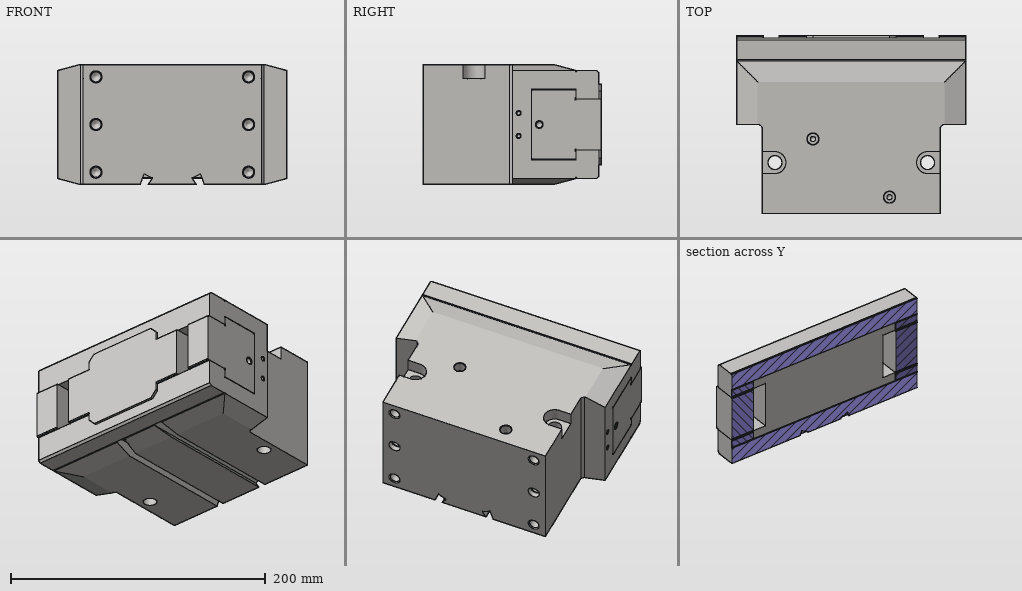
import cadquery as cq
import math


length = 180.0
height = 94.0
half_length = length / 2
half_height = height / 2

foot_half_width = 70.0
head_start_y = 70.0
foot_bevel = 2.2

shoulder_run = 16.7
shoulder_drop = 4.5
cover_half_height = half_height - shoulder_drop

cover_back_y = 120.0
cover_front_y = 138.0
cover_front_chamfer = 1.8
cover_back_chamfer = 0.9

front_y = 140.0
slot_floor_y = 85.3
slot_half_height = 27.7
neck_half_height = 20.2
flange_clearance = 0.4
jaw_length = 21.0
jaw_corner_chamfer = 0.7
jaw_relief = 0.7
front_edge_chamfer = 0.7

bar_half_length = 56.9
plate_half_length = 35.3
plate_half_height = 31.7
plate_corner = 5.4

drill_point_angle = 118.0
face_hole_x = 60.0
face_hole_pitch_z = 37.5
face_hole_mouth = 9.5
face_hole_core = 8.0
face_hole_depth = 21.6
locating_bore_depth = 4.5
end_hole_y = 75.0
end_hole_z = 9.0
end_hole_mouth = 4.0
end_hole_core = 2.9
end_hole_depth = 9.0
jaw_hole_y = 91.3
jaw_hole_mouth = 6.1
jaw_hole_core = 4.9
jaw_hole_depth = 10.8

port_places = [(-30.0, 58.7), (30.0, 13.0)]
port_mouth = 9.5
port_bore = 8.8
port_bore_depth = 9.0
port_core = 4.1
port_core_depth = 7.2

mount_x = 60.0
mount_y = 40.1
mount_diameter = 10.8
seat_width = 17.3
seat_depth = 11.0

groove_outline = [(25.0, 0), (22.1, 8.3), (15.7, 4.9), (18.9, 0)]


def along_x(points, x_start, x_end):
    """Prism along X of an outline given as (y, z) points."""
    return cq.Workplane("YZ", origin=(x_start, 0, 0)).polyline(points).close().extrude(x_end - x_start)


def along_y(points, y_start, y_end):
    """Prism along Y of an outline given as (x, z) points."""
    return cq.Workplane("XZ", origin=(0, y_start, 0)).polyline(points).close().extrude(y_start - y_end)


def mirrored(half_outline):
    """Closed outline from one half and its mirror image in the second coordinate."""
    return half_outline + [(a, -b) for a, b in reversed(half_outline)]


def turned(section, place, direction):
    """Solid of revolution of (radius, distance) points, measured from place along direction."""
    across = (0, 0, 1) if direction[2] == 0 else (1, 0, 0)
    plane = cq.Plane(origin=place, xDir=across, normal=cq.Vector(across).cross(cq.Vector(direction)))
    return cq.Workplane(plane).polyline(section).close().revolve(360, (0, 0), (0, 1))


def drill_tip(diameter, depth):
    """Depth of the tip of a drill whose full diameter reaches the given depth."""
    return depth + diameter / 2 / math.tan(math.radians(drill_point_angle / 2))


def blind_hole(mouth, core, depth, place, direction):
    """Drilled hole with a drill point and a 45 degree countersunk mouth."""
    section = [
        (0, 0),
        (mouth / 2, 0),
        (core / 2, (mouth - core) / 2),
        (core / 2, depth),
        (0, drill_tip(core, depth)),
    ]
    return turned(section, place, direction)


def housing_shell():
    """Intersection of the plan, side and end outlines of the housing."""
    plan_half = [
        (0, foot_half_width),
        (head_start_y - foot_bevel, foot_half_width),
        (head_start_y, foot_half_width + foot_bevel),
        (head_start_y, half_length),
        (cover_front_y, half_length),
    ]
    plan = [(x, y) for y, x in mirrored(plan_half)]
    side_half = [
        (0, half_height),
        (cover_back_y - shoulder_run, half_height),
        (cover_back_y, cover_half_height),
        (cover_back_y, cover_half_height - cover_back_chamfer),
        (cover_back_y + cover_back_chamfer, cover_half_height),
        (cover_front_y - cover_front_chamfer, cover_half_height),
        (cover_front_y, cover_half_height - cover_front_chamfer),
    ]
    end_half = [
        (-half_length, cover_half_height),
        (-half_length + shoulder_run, half_height),
        (half_length - shoulder_run, half_height),
        (half_length, cover_half_height),
    ]
    shell = cq.Workplane("XY", origin=(0, 0, -half_height)).polyline(plan).close().extrude(height)
    shell = shell.intersect(along_x(mirrored(side_half), -half_length, half_length))
    return shell.intersect(along_y(mirrored(end_half), 0, cover_front_y))


def t_slot():
    """T-shaped slot along the whole head, open at both ends and at the front."""
    slot_half = [
        (slot_floor_y, slot_half_height),
        (cover_back_y, slot_half_height),
        (cover_back_y, neck_half_height),
        (cover_front_y, neck_half_height),
    ]
    return along_x(mirrored(slot_half), -half_length, half_length)


def centre_plate():
    """Bar that fills the slot neck between the jaws, under a plate with cut corners."""
    bar_half = [
        (cover_back_y, neck_half_height),
        (front_y - front_edge_chamfer, neck_half_height),
        (front_y, neck_half_height - front_edge_chamfer),
    ]
    plate_half = [
        (-plate_half_length, plate_half_height - plate_corner),
        (-plate_half_length + plate_corner, plate_half_height),
        (plate_half_length - plate_corner, plate_half_height),
        (plate_half_length, plate_half_height - plate_corner),
    ]
    bar = along_x(mirrored(bar_half), -bar_half_length, bar_half_length)
    return bar.union(along_y(mirrored(plate_half), cover_front_y, front_y))


def mounting_cut(side):
    """Through hole and its seat, open towards the given side (-1 or 1) of the foot."""
    hole = (
        cq.Workplane("XY", origin=(side * mount_x, mount_y, -half_height))
        .circle(mount_diameter / 2)
        .extrude(height)
    )
    seat_floor = cq.Workplane("XY", origin=(side * mount_x, mount_y, half_height - seat_depth))
    round_end = seat_floor.circle(seat_width / 2).extrude(seat_depth)
    open_run = foot_half_width - mount_x
    open_end = (
        seat_floor.center(side * open_run / 2, 0).rect(open_run, seat_width).extrude(seat_depth)
    )
    return hole.union(round_end).union(open_end)


def port(x, y):
    """Counterbored port in the top face, with a short drilled core below the counterbore."""
    core_end = port_bore_depth + port_core_depth
    section = [
        (0, 0),
        (port_mouth / 2, 0),
        (port_bore / 2, (port_mouth - port_bore) / 2),
        (port_bore / 2, port_bore_depth),
        (port_core / 2, port_bore_depth),
        (port_core / 2, core_end),
        (0, drill_tip(port_core, core_end)),
    ]
    return turned(section, (x, y, half_height), (0, 0, -1))


def locating_bore(x):
    """Flat-bottomed counterbore over the middle threaded hole of a column in the mounting face."""
    return cq.Workplane("XZ", origin=(x, 0, 0)).circle(face_hole_mouth / 2).extrude(-locating_bore_depth)


def sensor_groove(side):
    """Tilted groove in the bottom face, running from the mounting face to the cover."""
    points = [(side * x, rise - half_height) for x, rise in groove_outline]
    return along_y(points, 0, cover_back_y)


def make_housing():
    body = housing_shell().cut(t_slot()).union(centre_plate())
    for x, y in port_places:
        body = body.cut(port(x, y))
    for side in (-1, 1):
        body = body.cut(mounting_cut(side)).cut(sensor_groove(side))
        for row in (-1, 0, 1):
            place = (side * face_hole_x, 0, row * face_hole_pitch_z)
            body = body.cut(blind_hole(face_hole_mouth, face_hole_core, face_hole_depth, place, (0, 1, 0)))
        body = body.cut(locating_bore(side * face_hole_x))
        for z in (-end_hole_z, end_hole_z):
            place = (side * half_length, end_hole_y, z)
            body = body.cut(blind_hole(end_hole_mouth, end_hole_core, end_hole_depth, place, (-side, 0, 0)))
    return body


def make_jaw(side):
    """T-shaped jaw, flush with the given end (-1 or 1) of the housing."""
    flange_half_height = slot_half_height - flange_clearance
    jaw_half = [
        (slot_floor_y, flange_half_height - jaw_corner_chamfer),
        (slot_floor_y + jaw_corner_chamfer, flange_half_height),
        (cover_back_y, flange_half_height),
        (cover_back_y, neck_half_height + jaw_relief),
        (cover_back_y - jaw_relief, neck_half_height + jaw_relief),
        (cover_back_y - jaw_relief, neck_half_height - jaw_relief),
        (cover_back_y, neck_half_height - jaw_relief),
        (cover_back_y, neck_half_height),
        (front_y - front_edge_chamfer, neck_half_height),
        (front_y, neck_half_height - front_edge_chamfer),
    ]
    outer_end = side * half_length
    jaw = along_x(mirrored(jaw_half), outer_end, outer_end - side * jaw_length)
    place = (outer_end, jaw_hole_y, 0)
    return jaw.cut(blind_hole(jaw_hole_mouth, jaw_hole_core, jaw_hole_depth, place, (-side, 0, 0)))


housing = make_housing()
jaws = [make_jaw(side) for side in (-1, 1)]

result = cq.Compound.makeCompound([housing.solids().val(), *[jaw.solids().val() for jaw in jaws]])